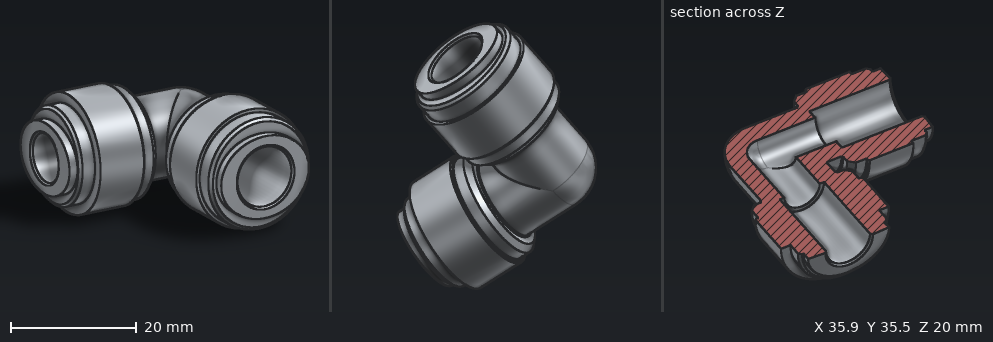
import cadquery as cq

neck_radius = 6.9
bore_radius = 3.25

neck_ring_start = 9.6
neck_ring_radius = 7.1
collar_start = 9.75
collar_radius = 9.37
collar_chamfer = 1.05
sleeve_start = 12.75
sleeve_end = 21.07
sleeve_diameter = 20.0
sleeve_radius = sleeve_diameter / 2
sleeve_chamfer = 0.25

socket_floor = 10.77
mouth_chamfer = 0.35
face_rise = 0.15


def arm(flange_radius, flange_end, flange_chamfer, oval_collet):
    """Outside of one arm, running along +X from the elbow centre."""
    flange_shoulder = flange_end - flange_chamfer
    body = (
        cq.Workplane("XY")
        .moveTo(0, 0)
        .lineTo(0, neck_radius)
        .lineTo(neck_ring_start, neck_radius)
        .lineTo(neck_ring_start, neck_ring_radius)
        .lineTo(collar_start, neck_ring_radius)
        .lineTo(collar_start, collar_radius - collar_chamfer)
        .lineTo(collar_start + collar_chamfer, collar_radius)
        .lineTo(sleeve_start, collar_radius)
        .lineTo(sleeve_start, sleeve_radius - sleeve_chamfer)
        .lineTo(sleeve_start + sleeve_chamfer, sleeve_radius)
        .lineTo(sleeve_end, sleeve_radius)
        .lineTo(sleeve_end, flange_radius)
        .lineTo(flange_shoulder, flange_radius)
        .lineTo(flange_end, flange_radius - flange_chamfer)
        .lineTo(flange_end, 0)
        .close()
        .revolve(360, (0, 0), (1, 0))
    )
    return body.union(oval_collet)


def collet(half_width, half_height, mouth_radius, end):
    """Oval release collet with a shallow conical face."""
    oval = (
        cq.Workplane("YZ")
        .workplane(offset=sleeve_end)
        .ellipse(half_width, half_height)
        .extrude(end - sleeve_end)
    )
    envelope = (
        cq.Workplane("XY")
        .moveTo(sleeve_end, 0)
        .lineTo(sleeve_end, half_width)
        .lineTo(end - face_rise, half_width)
        .lineTo(end, mouth_radius)
        .lineTo(end, 0)
        .close()
        .revolve(360, (0, 0), (1, 0))
    )
    return oval.intersect(envelope)


def passage(socket_radius, end):
    """Bore, tube socket and chamfered mouth of one arm, along +X."""
    return (
        cq.Workplane("XY")
        .moveTo(0, 0)
        .lineTo(0, bore_radius)
        .lineTo(socket_floor, bore_radius)
        .lineTo(socket_floor, socket_radius)
        .lineTo(end - mouth_chamfer, socket_radius)
        .lineTo(end, socket_radius + mouth_chamfer)
        .lineTo(end, 0)
        .close()
        .revolve(360, (0, 0), (1, 0))
    )


def turn_to_minus_y(shape):
    return shape.rotate((0, 0, 0), (0, 0, 1), -90)


overall_length_x = 35.9
large_end = overall_length_x - sleeve_radius
large_socket_radius = 5.03
large_collet = collet(
    half_width=8.2,
    half_height=6.93,
    mouth_radius=large_socket_radius + mouth_chamfer,
    end=large_end,
)
large_arm = arm(flange_radius=9.37, flange_end=24.27, flange_chamfer=0.55, oval_collet=large_collet)
large_passage = passage(large_socket_radius, large_end)

overall_length_y = 35.5
small_end = overall_length_y - sleeve_radius
small_socket_radius = 4.05
small_collet = collet(
    half_width=7.5,
    half_height=6.03,
    mouth_radius=small_socket_radius + mouth_chamfer,
    end=small_end,
)
small_arm = turn_to_minus_y(
    arm(flange_radius=8.25, flange_end=23.87, flange_chamfer=0.5, oval_collet=small_collet)
)
small_passage = turn_to_minus_y(passage(small_socket_radius, small_end))

outside = large_arm.union(small_arm).union(cq.Workplane("XY").sphere(neck_radius))
inside = large_passage.union(small_passage).union(cq.Workplane("XY").sphere(bore_radius))
result = outside.cut(inside)